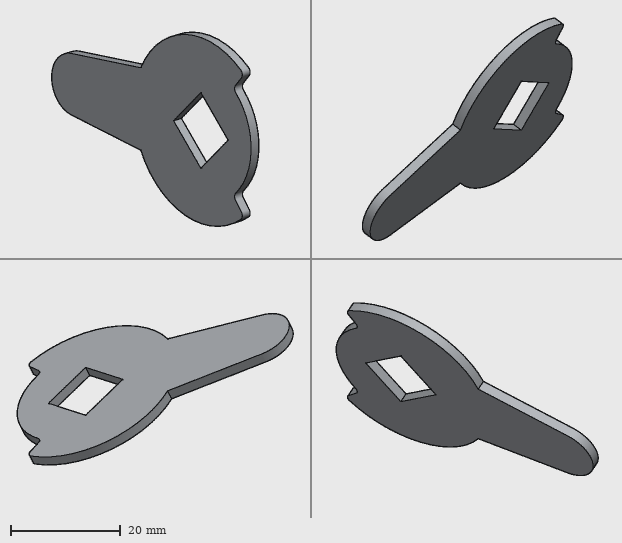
import cadquery as cq
import math

length = 53.5
thickness = 2.0
hub_radius = 18.0
nose_radius = 13.5
step_angle = 50.0
step_fillet = 1.0
handle_radius = 6.0
handle_taper = 6.2
square_side = 10.3

handle_center_x = nose_radius + handle_radius - length


def polar(radius, angle):
    """Point at a radius and an angle in degrees from +X."""
    turn = math.radians(angle)
    return (radius * math.cos(turn), radius * math.sin(turn))


def plate(outline):
    """Extrude a closed outline to the plate thickness, centred on Y = 0."""
    return outline.extrude(thickness / 2, both=True)


def make_hub():
    """Large disc stepping radially inward to a smaller nose arc on the +X side."""
    outline = (
        cq.Workplane("XZ")
        .moveTo(*polar(hub_radius, step_angle))
        .threePointArc((-hub_radius, 0), polar(hub_radius, -step_angle))
        .lineTo(*polar(nose_radius, -step_angle))
        .threePointArc((nose_radius, 0), polar(nose_radius, step_angle))
        .close()
    )
    return plate(outline).edges("|Y").fillet(step_fillet)


def make_handle():
    """Rounded handle whose tangent sides widen toward the hub."""
    tangent_x, tangent_z = polar(handle_radius, 90 + handle_taper)
    tangent_x += handle_center_x
    root_x = -hub_radius / 2
    root_z = tangent_z + (root_x - tangent_x) * math.tan(math.radians(handle_taper))
    outline = (
        cq.Workplane("XZ")
        .moveTo(root_x, root_z)
        .lineTo(tangent_x, tangent_z)
        .threePointArc((handle_center_x - handle_radius, 0), (tangent_x, -tangent_z))
        .lineTo(root_x, -root_z)
        .close()
    )
    return plate(outline)


def make_square_hole():
    """Square drive hole standing on its corner at the hub centre."""
    outline = cq.Workplane("XZ").rect(square_side, square_side)
    return plate(outline).rotate((0, 0, 0), (0, 1, 0), 45)


result = make_hub().union(make_handle()).cut(make_square_hole())